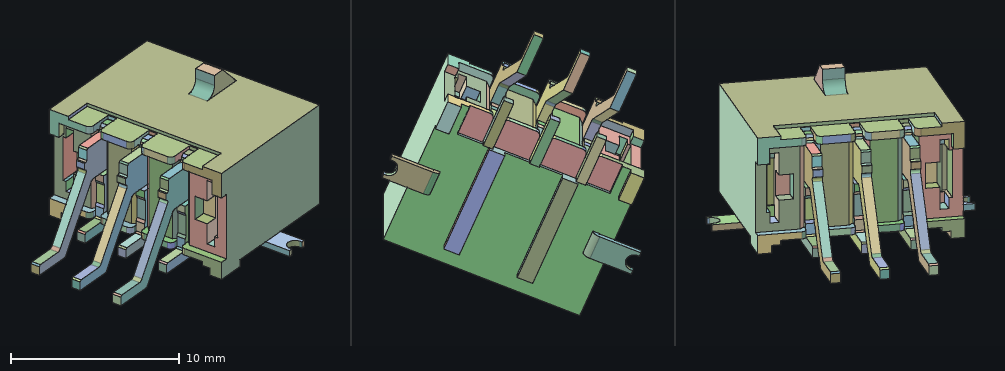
import cadquery as cq

body_width = 12.7
body_back = 9.9
body_bottom = 0.48
body_top = 7.35
half_width = body_width / 2

wall_y = 0.5
lower_flange_top = 1.2
upper_flange_bottom = 6.63
corner_bottom = 5.65
corner_half_gap = 5.63

pocket_half_width = 4.93
pocket_depth_y = 1.9
pocket_top = 7.13
pocket_bottom = 0.75

pin_pitch = 3.0
pin_count = 3
pin_width = 0.62
pin_edge = 0.1
pin_centres = [(i - (pin_count - 1) / 2) * pin_pitch for i in range(pin_count)]
foot_thickness = 0.71

barb_top = 6.92
barb_back = 1.7
barb_bevel = 0.04
barb_ramp = ((1.15, barb_top), (0.98, 6.75), (0.95, 6.58))
head_back = 0.86
head_top = 6.46
head_bottom = 4.1
head_front = -1.2
nib_front = -1.42
nib_top = 5.56
nib_bottom = 5.1
leg_front_arc = ((-1.26, 4.95), (-1.31, 4.79))
leg_back_arc = ((-0.7, 4.03), (-0.53, head_bottom))
leg_back_top = (-0.81, 3.9)
leg_front_bottom = (-3.87, 0.87)
foot_arc = ((-3.97, 0.76), (-4.11, foot_thickness))
heel_y = -3.37
pin_tip_y = -6.0

tail_tip_y = -1.37
riser_low_front = 0.5
riser_front = 0.6
riser_low_top = 1.5
riser_cap_front = 0.5
riser_undercut = (3.07, 3.27)
riser_top = 3.77

channel_back = 1.79
channel_mouth = 0.32

post_inner = 5.47
stand_inner = 1.87
stand_outer = 2.87
stand_back = 8.87

tab_tip = 8.05
tab_front = 4.54
tab_back = 6.05
tab_thickness = 0.42
tab_bend_radius = 0.45
tab_notch_radius = 0.5
tab_notch_centre = 7.9
anchor_front = 1.75

slot_inner = pocket_half_width
slot_outer = 5.47
slot_z = (1.73, 6.12)
slot_back = 1.6
window_back = 1.35
wide_slot_z = (2.42, 5.43)
relief_outer = 5.68
relief_back = 1.9
window_inner = 4.04
window_z = (3.13, 4.72)

latch_width = 1.38
latch_top = 8.76
latch_ramp_foot = 9.26
latch_ramp_top = 7.87
latch_face = 7.05
latch_radius = 0.73


def block(x_range, y_range, z_range):
    """Box given by its limits along each axis."""
    size = [high - low for low, high in (x_range, y_range, z_range)]
    corner = (x_range[0], y_range[0], z_range[0])
    return cq.Workplane("XY").box(*size, centered=False).translate(corner)


def both_sides(solid):
    """The solid together with its mirror image across X = 0."""
    return solid.union(solid.mirror("YZ"))


def side_plate(width, centre_x=0.0):
    """YZ workplane whose forward extrusion of `width` is centred on centre_x."""
    return cq.Workplane("YZ", origin=(centre_x - width / 2, 0, 0))


def make_housing():
    housing = block((-half_width, half_width), (0, body_back), (body_bottom, body_top))
    post = block((post_inner, half_width), (0, pocket_depth_y), (0, body_bottom))
    stand = block((stand_inner, stand_outer), (pocket_depth_y, stand_back), (0, body_bottom))
    step_x = (-corner_half_gap, corner_half_gap)
    step = block(step_x, (0, wall_y), (lower_flange_top, upper_flange_bottom))
    side_step = block((-half_width, half_width), (0, wall_y), (lower_flange_top, corner_bottom))
    pocket_x = (-pocket_half_width, pocket_half_width)
    top_pocket = block(pocket_x, (0, pocket_depth_y), (pocket_top, body_top))
    bottom_pocket = block(pocket_x, (0, pocket_depth_y), (body_bottom, pocket_bottom))
    housing = housing.union(both_sides(post)).union(both_sides(stand))
    return housing.cut(step).cut(side_step).cut(top_pocket).cut(bottom_pocket)


def make_channel(centre_x):
    """Pin channel: rounded mouth through the flanges, chamfered mouth in the wall."""
    half = pin_width / 2
    mouth = half + channel_mouth
    flange_cut = (
        cq.Workplane("XY", origin=(centre_x, 0, pocket_bottom))
        .moveTo(-mouth, 0)
        .radiusArc((-half, channel_mouth), -channel_mouth)
        .lineTo(-half, channel_back)
        .lineTo(half, channel_back)
        .lineTo(half, channel_mouth)
        .radiusArc((mouth, 0), -channel_mouth)
        .close()
        .extrude(pocket_top - pocket_bottom)
    )
    wall_cut = (
        cq.Workplane("XY", origin=(centre_x, 0, lower_flange_top))
        .moveTo(-mouth, wall_y)
        .lineTo(-half, wall_y + channel_mouth)
        .lineTo(half, wall_y + channel_mouth)
        .lineTo(mouth, wall_y)
        .close()
        .extrude(upper_flange_bottom - lower_flange_top)
    )
    return flange_cut.union(wall_cut)


def make_tab_recess():
    """Slot, relief and inward window beside one end of the pin row (+X side)."""
    slot = block((slot_inner, slot_outer), (wall_y, slot_back), slot_z)
    relief = block((slot_inner, relief_outer), (wall_y, relief_back), wide_slot_z)
    window = block((window_inner, slot_inner), (wall_y, window_back), window_z)
    return slot.union(relief).union(window)


def make_upper_pin(centre_x):
    """Long pin: press-fit head, sloping leg and flat solder foot."""
    profile = side_plate(pin_width, centre_x).moveTo(channel_back, head_bottom)
    profile = profile.lineTo(channel_back, barb_top - barb_bevel).lineTo(barb_back, barb_top)
    for point in barb_ramp:
        profile = profile.lineTo(*point)
    return (
        profile.lineTo(head_back, head_top)
        .lineTo(head_front + pin_edge, head_top)
        .lineTo(head_front, head_top - pin_edge)
        .lineTo(head_front, nib_top + pin_edge)
        .lineTo(head_front - pin_edge, nib_top)
        .lineTo(nib_front, nib_top)
        .lineTo(nib_front, nib_bottom)
        .threePointArc(*leg_front_arc)
        .lineTo(*leg_front_bottom)
        .threePointArc(*foot_arc)
        .lineTo(pin_tip_y + pin_edge, foot_thickness)
        .lineTo(pin_tip_y, foot_thickness - pin_edge)
        .lineTo(pin_tip_y, 0)
        .lineTo(heel_y, 0)
        .lineTo(*leg_back_top)
        .threePointArc(*leg_back_arc)
        .close()
        .extrude(pin_width)
    )


def make_lower_pin(centre_x):
    """Short pin: riser inside the channel and a flat solder tail."""
    return (
        side_plate(pin_width, centre_x)
        .moveTo(channel_back, 0)
        .lineTo(tail_tip_y, 0)
        .lineTo(tail_tip_y, foot_thickness - pin_edge)
        .lineTo(tail_tip_y + pin_edge, foot_thickness)
        .lineTo(riser_low_front - pin_edge, foot_thickness)
        .lineTo(riser_low_front, foot_thickness + pin_edge)
        .lineTo(riser_low_front, riser_low_top)
        .lineTo(riser_low_front + pin_edge / 2, riser_low_top + pin_edge)
        .lineTo(riser_front, riser_low_top + 2 * pin_edge)
        .lineTo(riser_front, riser_undercut[0])
        .lineTo(riser_cap_front, riser_undercut[1])
        .lineTo(riser_cap_front, riser_top)
        .lineTo(channel_back, riser_top)
        .close()
        .extrude(pin_width)
    )


def make_solder_tab():
    """Bent strip leaving the underside on the +X side, notched at its tip."""
    tab_middle = (tab_front + tab_back) / 2
    plate_x = (slot_inner, slot_inner + tab_thickness)
    strip = block((slot_inner, tab_tip), (tab_front, tab_back), (0, tab_thickness))
    upright = block(plate_x, (tab_front, tab_back), (0, wide_slot_z[1]))
    tab = strip.union(upright)
    bend_edge = cq.selectors.NearestToPointSelector((slot_inner, tab_middle, 0))
    tab = tab.edges(bend_edge).fillet(tab_bend_radius)
    anchor = block(plate_x, (anchor_front, tab_back), wide_slot_z)
    notch_y = (tab_middle - tab_notch_radius, tab_middle + tab_notch_radius)
    notch_end = cq.Workplane("XY").center(tab_notch_centre, tab_middle).circle(tab_notch_radius)
    notch_end = notch_end.extrude(tab_thickness)
    notch_mouth = block((tab_notch_centre, tab_tip), notch_y, (0, tab_thickness))
    return tab.cut(notch_end).cut(notch_mouth).union(anchor)


def make_latch():
    """Ramp on the top face with a concave foot behind its catch."""
    return (
        side_plate(latch_width)
        .moveTo(latch_ramp_foot, body_top)
        .lineTo(latch_ramp_top, latch_top)
        .lineTo(latch_face, latch_top)
        .lineTo(latch_face, body_top + latch_radius)
        .radiusArc((latch_face - latch_radius, body_top), latch_radius)
        .close()
        .extrude(latch_width)
    )


result = make_housing().cut(both_sides(make_tab_recess()))
for pin_x in pin_centres:
    result = result.cut(make_channel(pin_x))
for pin_x in pin_centres:
    result = result.union(make_upper_pin(pin_x)).union(make_lower_pin(pin_x))
result = result.union(both_sides(make_solder_tab())).union(make_latch())